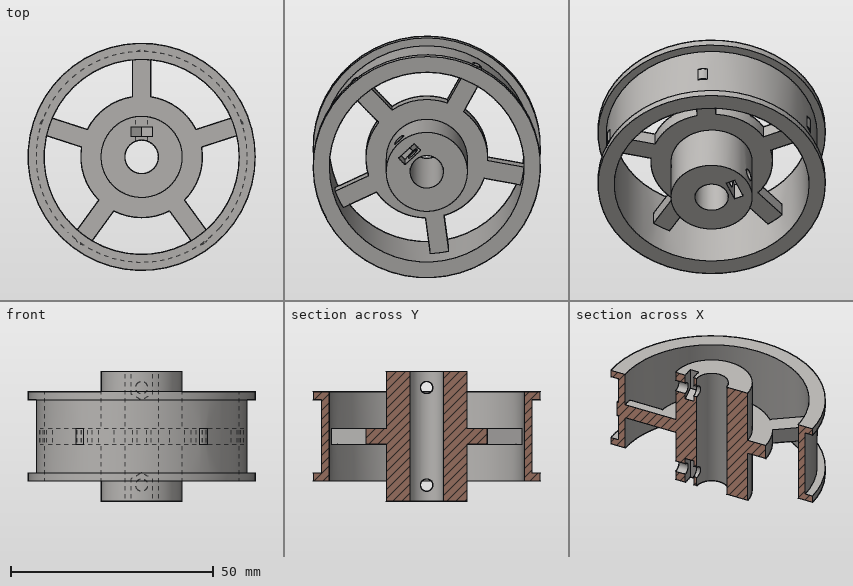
import cadquery as cq
import math

rim_outer_diameter = 52.0
rim_inner_diameter = 48.0
flange_diameter = 56.0
flange_thickness = 2.0
rim_height = 22.0

hub_diameter = 20.0
hub_height = 32.0
bore_diameter = 8.2
web_diameter = 30.0
web_thickness = 4.0

spoke_count = 5
spoke_width = 4.6
spoke_end_radius = rim_inner_diameter / 2
spoke_start_angle = 90.0

screw_hole_diameter = 3.0
screw_height = 12.0
nut_across_flats = 5.3
nut_slot_thickness = 2.3
nut_slot_inner_face = 5.0


def cylinder(diameter, height):
    """Cylinder on the Z axis, centred on the origin."""
    return cq.Workplane("XY", origin=(0, 0, -height / 2)).circle(diameter / 2).extrude(height)


def make_rim():
    rim = cylinder(rim_outer_diameter, rim_height)
    flange = cylinder(flange_diameter, flange_thickness)
    flange_offset = (rim_height - flange_thickness) / 2
    for side in (-1, 1):
        rim = rim.union(flange.translate((0, 0, side * flange_offset)))
    return rim.cut(cylinder(rim_inner_diameter, rim_height))


def make_spoke(angle):
    """Round-ended bar from the hub axis out to the rim."""
    bar = (
        cq.Workplane("XY", origin=(spoke_end_radius / 2, 0, -web_thickness / 2))
        .slot2D(spoke_end_radius + spoke_width, spoke_width)
        .extrude(web_thickness)
    )
    return bar.rotate((0, 0, 0), (0, 0, 1), angle)


def make_screw_hole():
    """Radial hole from the bore out through the +Y side of the hub."""
    return (
        cq.Workplane("XZ")
        .center(0, screw_height)
        .circle(screw_hole_diameter / 2)
        .extrude(-hub_diameter / 2)
    )


def make_nut_slot():
    """Slot open at the hub's top end, its floor a V that seats a hexagon nut point down."""
    half_width = nut_across_flats / 2
    flat_to_corner_angle = math.pi / 6
    half_side = half_width * math.tan(flat_to_corner_angle)
    corner_radius = half_width / math.cos(flat_to_corner_angle)
    return (
        cq.Workplane("XZ", origin=(0, nut_slot_inner_face, 0))
        .moveTo(0, screw_height - corner_radius)
        .lineTo(half_width, screw_height - half_side)
        .lineTo(half_width, hub_height / 2)
        .lineTo(-half_width, hub_height / 2)
        .lineTo(-half_width, screw_height - half_side)
        .close()
        .extrude(-nut_slot_thickness)
    )


def make_wheel():
    wheel = make_rim()
    wheel = wheel.union(cylinder(web_diameter, web_thickness))
    wheel = wheel.union(cylinder(hub_diameter, hub_height))
    for index in range(spoke_count):
        wheel = wheel.union(make_spoke(spoke_start_angle + index * 360 / spoke_count))
    wheel = wheel.cut(cylinder(bore_diameter, hub_height))
    screw_seat = make_screw_hole().union(make_nut_slot())
    return wheel.cut(screw_seat).cut(screw_seat.mirror("XY"))


result = make_wheel()